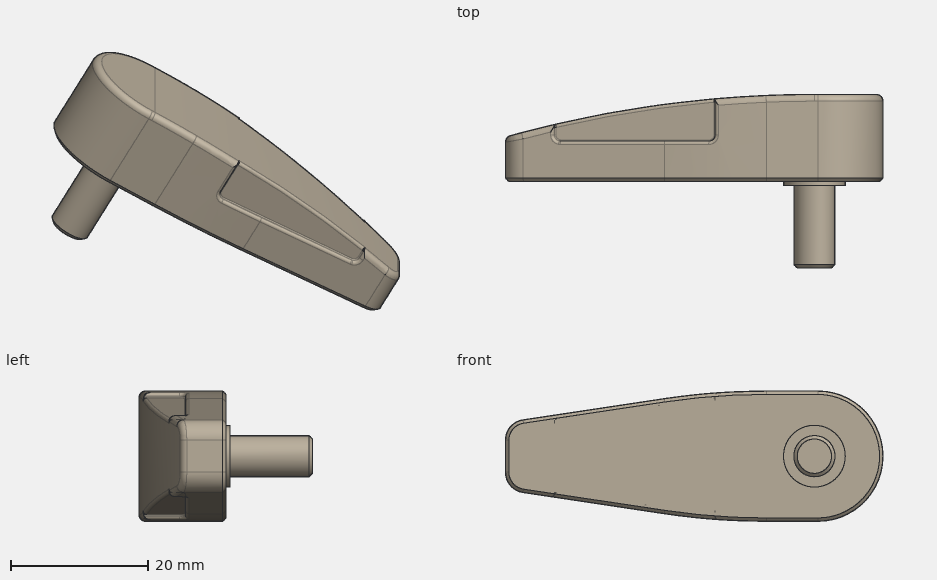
import cadquery as cq
import math


stud_diameter = 6.0
stud_length = 12.0
stud_chamfer = 0.5
collar_diameter = 9.0
collar_height = 0.6

half_width = 9.5
head_x = 0.5
flank_start_x = -7.0
tail_x = -45.0
flank_radius = 100.0
flank_angle = math.radians(8.55)
tail_corner_radius = 3.0

body_height = 12.7
base_chamfer = 0.5
crown_radius = 166.0
crown_start_x = 0.0
crown_edge_radius = 1.0

recess_start_x = -37.85
recess_end_x = -14.45
recess_start_z = 5.3
recess_end_z = 8.5
recess_bottom = 5.9
recess_corner_radius = 0.9
recess_lip_radius = 0.5
recess_foot_radius = 0.17
core_edge_radius = 0.5

base_y = collar_height
crown_y = base_y + body_height
crown_centre_y = crown_y - crown_radius
head_end_x = head_x + half_width
recess_slope = (recess_end_z - recess_start_z) / (recess_end_x - recess_start_x)
overrun = 5.0


def crown_height_at(x):
    """Y of the falling crown arc at a given X."""
    return crown_centre_y + math.sqrt(crown_radius**2 - (x - crown_start_x) ** 2)


def recess_floor_at(x):
    """Distance of the recess floor from the mid plane at a given X."""
    return recess_start_z + (x - recess_start_x) * recess_slope


def flank_arc_point(angle):
    """Point on the blending arc of the +Z flank, by angle from the parallel side."""
    x = flank_start_x - flank_radius * math.sin(angle)
    z = half_width - flank_radius * (1 - math.cos(angle))
    return x, z


def plan_prism():
    """Full-height lever with upright walls."""
    mid_x, mid_z = flank_arc_point(flank_angle / 2)
    taper_x, taper_z = flank_arc_point(flank_angle)
    tail_z = taper_z - (taper_x - tail_x) * math.tan(flank_angle)
    prism = (
        cq.Workplane("XZ", origin=(0, base_y, 0))
        .moveTo(head_x, half_width)
        .lineTo(flank_start_x, half_width)
        .threePointArc((mid_x, mid_z), (taper_x, taper_z))
        .lineTo(tail_x, tail_z)
        .lineTo(tail_x, -tail_z)
        .lineTo(taper_x, -taper_z)
        .threePointArc((mid_x, -mid_z), (flank_start_x, -half_width))
        .lineTo(head_x, -half_width)
        .threePointArc((head_end_x, 0), (head_x, half_width))
        .close()
        .extrude(-body_height)
    )
    return prism.edges("|Y and <X").fillet(tail_corner_radius)


def crown_envelope():
    """Everything under the flat head and the falling crown arc."""
    start_x = tail_x - overrun
    end_x = head_end_x + overrun
    mid_x = (start_x + crown_start_x) / 2
    return (
        cq.Workplane("XY")
        .moveTo(start_x, base_y)
        .lineTo(end_x, base_y)
        .lineTo(end_x, crown_y)
        .lineTo(crown_start_x, crown_y)
        .threePointArc((mid_x, crown_height_at(mid_x)), (start_x, crown_height_at(start_x)))
        .close()
        .extrude(half_width + overrun, both=True)
    )


def recess_wedge():
    """Solid between the two flat recess floors, reaching above the crown."""
    start_x = recess_start_x - overrun
    end_x = recess_end_x + overrun
    return (
        cq.Workplane("XZ", origin=(0, base_y, 0))
        .moveTo(start_x, -recess_floor_at(start_x))
        .lineTo(end_x, -recess_floor_at(end_x))
        .lineTo(end_x, recess_floor_at(end_x))
        .lineTo(start_x, recess_floor_at(start_x))
        .close()
        .extrude(-body_height - overrun)
    )


def recess_window():
    """Rounded-corner window crossing both flanks, open at the crown."""
    width = recess_end_x - recess_start_x
    height = body_height + overrun - recess_bottom
    centre_x = (recess_start_x + recess_end_x) / 2
    return (
        cq.Workplane("XY", origin=(centre_x, base_y + recess_bottom + height / 2, 0))
        .rect(width, height)
        .extrude(half_width + overrun, both=True)
        .edges("|Z and <Y")
        .fillet(recess_corner_radius)
    )


def recess_cutter():
    """Both recess pockets, with a small round along the foot of their walls."""
    pockets = recess_window().cut(recess_wedge())
    floor_edges = pockets.edges("not |Z").edges(
        cq.selectors.BoxSelector(
            (recess_start_x - overrun, base_y, -half_width),
            (recess_end_x + overrun, crown_y, half_width),
        )
    )
    return floor_edges.fillet(recess_foot_radius)


def recess_lip_edges(body, side):
    """Edges where the recess walls meet the outer skin on one side (side is +1 or -1)."""
    margin = 0.1
    nearby = body.edges(
        cq.selectors.BoxSelector(
            (recess_start_x - margin, base_y + recess_bottom - margin, 0),
            (recess_end_x + margin, crown_y, side * half_width),
        )
    ).edges("not |Z")
    proud = recess_lip_radius / 4
    return [
        edge
        for edge in nearby.vals()
        if side * edge.Center().z > recess_floor_at(edge.Center().x) + proud
    ]


def lever():
    """Lever body with both grip recesses."""
    sharp_body = plan_prism().intersect(crown_envelope())
    rounded_body = sharp_body.faces(">Y").edges("%CIRCLE and >X").fillet(crown_edge_radius)
    rounded_body = rounded_body.faces("<Y").chamfer(base_chamfer)

    lipped_body = sharp_body.cut(recess_cutter())
    for side in (1, -1):
        lip_edges = recess_lip_edges(lipped_body, side)
        lipped_body = lipped_body.newObject(lip_edges).fillet(recess_lip_radius)

    core = recess_wedge().intersect(crown_envelope())
    rounded_core = core.edges("%ELLIPSE").fillet(core_edge_radius)
    floor_edge_waste = core.cut(rounded_core).intersect(recess_window())
    return lipped_body.intersect(rounded_body).cut(floor_edge_waste)


def stud():
    """Threadless stud with its collar, along -Y."""
    collar = cq.Workplane("XZ", origin=(0, base_y, 0)).circle(collar_diameter / 2).extrude(collar_height)
    pin = (
        cq.Workplane("XZ")
        .circle(stud_diameter / 2)
        .extrude(stud_length)
        .faces("<Y")
        .chamfer(stud_chamfer)
    )
    return collar.union(pin)


result = lever().union(stud())